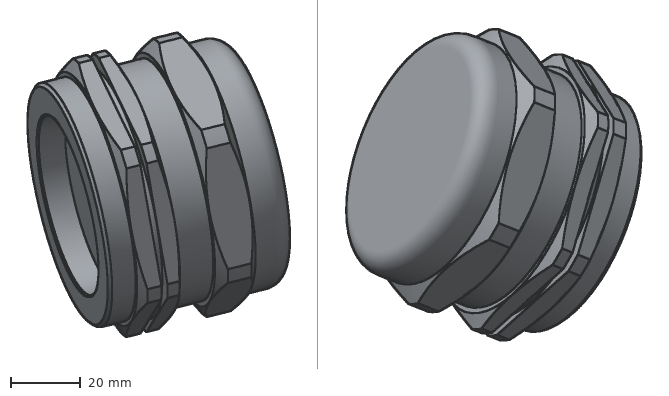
import cadquery as cq
import math

LENGTH = 56.3
ACROSS_FLATS = 75.0
CORNER_DIAMETER = 83.5
NUT_FACE_RADIUS = ACROSS_FLATS / 2

LOCKNUT_START = 8.1
LOCKNUT_END = 14.0
BODY_HEX_START = 15.9
BODY_HEX_END = 21.1
CAP_HEX_START = 31.7
CAP_HEX_END = 44.25

ENTRY_DIAMETER = 72.2
ENTRY_CHAMFER = 1.0
SEAL_DIAMETER = 74.5
SEAL_SECTION_RADIUS = 1.6
SEAL_CENTRE = 15.4
BODY_DIAMETER = 71.7
CAP_DIAMETER = 73.8
CAP_ROUNDING = 5.5

THIN_HEX_BEVEL = 1.7
CAP_HEX_FRONT_BEVEL = 2.4
CAP_HEX_REAR_BEVEL = 2.9

BORE_DIAMETER = 53.0
BORE_DEPTH = 8.5
BORE_CHAMFER = 0.5


def cylinder(diameter, start, end):
    """Solid cylinder along Y between two stations."""
    plane = cq.Workplane("XZ", origin=(0, start, 0))
    return plane.circle(diameter / 2).extrude(start - end)


def hexagon(start, end, front_bevel, rear_bevel, rear_radius=NUT_FACE_RADIUS):
    """Hexagon with blunted corners and conical bevels, flats facing up and down."""
    point_diameter = ACROSS_FLATS / math.cos(math.pi / 6)
    prism = cq.Workplane("XZ", origin=(0, start, 0)).polygon(6, point_diameter).extrude(start - end)
    corner_radius = CORNER_DIAMETER / 2
    front_radius = NUT_FACE_RADIUS if front_bevel else corner_radius
    profile = [
        (0, start),
        (front_radius, start),
        (corner_radius, start + front_bevel),
        (corner_radius, end - rear_bevel),
        (rear_radius if rear_bevel else corner_radius, end),
        (0, end),
    ]
    profile = list(dict.fromkeys(profile))
    envelope = cq.Workplane("XY").polyline(profile).close().revolve(360, (0, 0, 0), (0, 1, 0))
    return prism.intersect(envelope)


entry = cylinder(ENTRY_DIAMETER, 0, LOCKNUT_END).faces("<Y").chamfer(ENTRY_CHAMFER)
seal_ring_radius = SEAL_DIAMETER / 2 - SEAL_SECTION_RADIUS
seal_core = cylinder(2 * seal_ring_radius, LOCKNUT_END, BODY_HEX_START)
seal_ring = (
    cq.Workplane("XY")
    .center(seal_ring_radius, SEAL_CENTRE)
    .circle(SEAL_SECTION_RADIUS)
    .revolve(360, (-seal_ring_radius, 0, 0), (-seal_ring_radius, 1, 0))
)
body = cylinder(BODY_DIAMETER, BODY_HEX_START, CAP_HEX_START)
cap = cylinder(CAP_DIAMETER, CAP_HEX_START, LENGTH).faces(">Y").edges().fillet(CAP_ROUNDING)

locknut = hexagon(LOCKNUT_START, LOCKNUT_END, THIN_HEX_BEVEL, 0)
body_hex = hexagon(BODY_HEX_START, BODY_HEX_END, 0, THIN_HEX_BEVEL)
cap_hex = hexagon(
    CAP_HEX_START, CAP_HEX_END, CAP_HEX_FRONT_BEVEL, CAP_HEX_REAR_BEVEL, CAP_DIAMETER / 2
)

result = entry
for section in (locknut, seal_core, seal_ring, body_hex, body, cap_hex, cap):
    result = result.union(section)

result = result.cut(cylinder(BORE_DIAMETER, 0, BORE_DEPTH))
bore_rim = result.faces("<Y").edges(cq.selectors.RadiusNthSelector(0))
result = bore_rim.chamfer(BORE_CHAMFER)